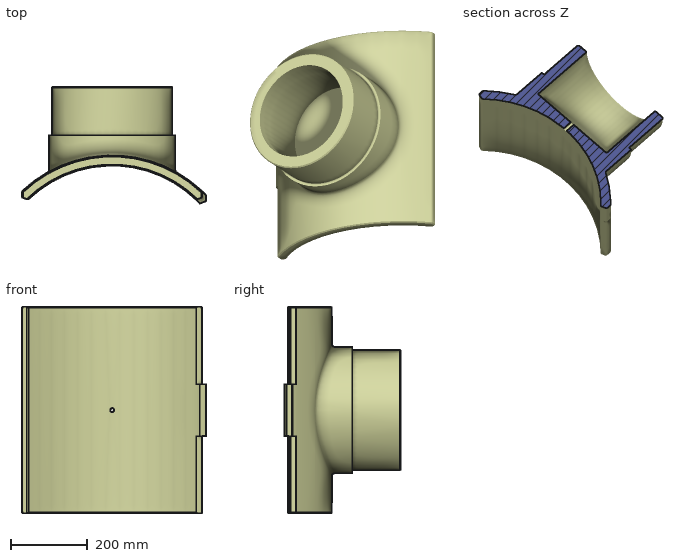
import cadquery as cq
import math

inner_radius = 315.0
wall = 26.5
outer_radius = inner_radius + wall
saddle_height = 540.0
half_width = 235.5
rim_chamfer = 3.0

edge_flat = 15.5
edge_tip_inset = 16.0
flat_chamfer = 1.5

tab_reach = 10.0
tab_height = 136.0
tab_end_x = half_width + tab_reach

overall_depth = 305.42
pipe_diameter = 315.0
pipe_bore = 252.0
pipe_length = 127.0
pipe_end_chamfer = 3.0
collar_diameter = 330.75
collar_fillet = 6.0
pilot_diameter = 9.6


def height_on_circle(radius, x):
    """Y of the point at x on a circle about the Z axis."""
    return math.sqrt(radius**2 - x**2)


def shell(end_x, height):
    """Arc plate from -end_x to +end_x, centred on Z = 0."""
    outer_y = height_on_circle(outer_radius, end_x)
    tip_x = end_x - edge_tip_inset
    tip_y = height_on_circle(inner_radius, tip_x)
    return (
        cq.Workplane("XY", origin=(0, 0, -height / 2))
        .moveTo(-end_x, outer_y)
        .threePointArc((0, outer_radius), (end_x, outer_y))
        .lineTo(end_x, outer_y - edge_flat)
        .lineTo(tip_x, tip_y)
        .threePointArc((0, inner_radius), (-tip_x, tip_y))
        .lineTo(-end_x, outer_y - edge_flat)
        .close()
        .extrude(height)
    )


def cylinder_along_y(diameter, y_start, y_end):
    """Solid cylinder on the branch axis."""
    start_plane = cq.Workplane("XZ", origin=(0, y_start, 0))
    return start_plane.circle(diameter / 2).extrude(y_start - y_end)


def make_saddle():
    """Shell chamfered all round, except on its slanted end faces and its +X inner tip."""
    blank = shell(half_width, saddle_height)
    rims = blank.faces("%CYLINDER").edges("%CIRCLE")
    flat_ends = blank.faces("<X or >X").edges("#Z")
    left_tip = blank.faces("%CYLINDER").edges("|Z").edges("<Y").edges("<X")
    rimmed = rims.add(flat_ends).add(left_tip).chamfer(rim_chamfer)
    return rimmed.faces("<X or >X").edges("|Z").chamfer(flat_chamfer)


def make_tab():
    """The +X half of a wider, lower shell; all but its end lies inside the saddle."""
    positive_x = cq.Workplane("XY").box(
        tab_end_x, 2 * outer_radius, tab_height, centered=(False, True, True)
    )
    half_shell = shell(tab_end_x, tab_height).intersect(positive_x)
    return half_shell.faces(">X").edges("|Z").chamfer(flat_chamfer)


def add_collar(saddle, collar_end_y):
    """Join the collar to the outside of the saddle and fillet the joint."""
    collar_root_y = height_on_circle(inner_radius, collar_diameter / 2)
    inner_space = (
        cq.Workplane("XY").circle(inner_radius + wall / 2).extrude(saddle_height / 2, both=True)
    )
    collar = cylinder_along_y(collar_diameter, collar_root_y, collar_end_y).cut(inner_space)
    joint_reach = collar_diameter + 2 * collar_fillet
    joint_zone = cq.selectors.BoxSelector(
        (-joint_reach / 2, collar_root_y, -joint_reach / 2),
        (joint_reach / 2, outer_radius + wall, joint_reach / 2),
        boundingbox=True,
    )
    return saddle.union(collar).edges(joint_zone).fillet(collar_fillet)


tab_tip_y = height_on_circle(inner_radius, tab_end_x - edge_tip_inset)
pipe_end_y = tab_tip_y + overall_depth
collar_end_y = pipe_end_y - pipe_length

body = add_collar(make_saddle(), collar_end_y)
pipe_blank = cylinder_along_y(pipe_diameter, outer_radius, pipe_end_y)
pipe = pipe_blank.faces(">Y").chamfer(pipe_end_chamfer)
bore = cylinder_along_y(pipe_bore, outer_radius, pipe_end_y)
pilot_hole = cylinder_along_y(pilot_diameter, 0, pipe_end_y)

result = body.union(pipe).union(make_tab()).cut(bore).cut(pilot_hole)